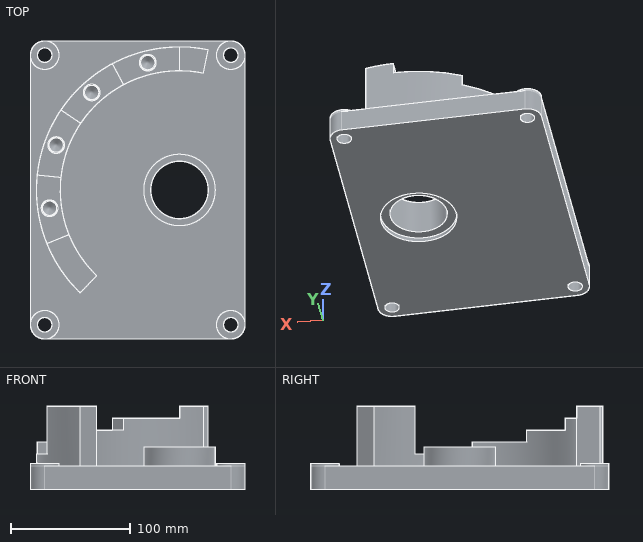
import cadquery as cq
import math

plate_width = 180
plate_length = 250
plate_height = 20
corner_radius = 12.0

pad_rise = 2.0
screw_hole_diameter = 12.0

pivot_x = 35
collar_diameter = 60
collar_rise = 16.0
bore_diameter = 48.0
counterbore_diameter = 64.0
counterbore_depth = 4.0

wall_inner_radius = 100
wall_outer_radius = 120
step_count = 4
step_angle = 28
step_rise = 10
first_step_angle = 90
upper_stop_angle = 11.5
lower_stop_angle = 24
stop_height = plate_height + (step_count + 1) * step_rise

detent_diameter = 12.0
detent_chamfer = 1.0
detent_depth = 10
drill_point_angle = 118
detent_radius = (wall_inner_radius + wall_outer_radius) / 2


def polar(radius, angle):
    """Point at the given radius and angle about the pivot."""
    turn = math.radians(angle)
    return (pivot_x + radius * math.cos(turn), radius * math.sin(turn))


def wall_sector(start, sweep, bottom):
    """Ring sector from the given height up to the top of the stops."""
    end = start + sweep
    middle = start + sweep / 2
    return (
        cq.Workplane("XY", origin=(0, 0, bottom))
        .moveTo(*polar(wall_outer_radius, start))
        .threePointArc(polar(wall_outer_radius, middle), polar(wall_outer_radius, end))
        .lineTo(*polar(wall_inner_radius, end))
        .threePointArc(polar(wall_inner_radius, middle), polar(wall_inner_radius, start))
        .close()
        .extrude(stop_height - bottom)
    )


def drilled_hole(angle, top):
    """Chamfered blind hole with a conical drill point, opening at the given height."""
    radius = detent_diameter / 2
    point_depth = radius / math.tan(math.radians(drill_point_angle / 2))
    x, y = polar(detent_radius, angle)
    profile = [
        (0, 0),
        (radius + detent_chamfer, 0),
        (radius, -detent_chamfer),
        (radius, -detent_depth),
        (0, -detent_depth - point_depth),
    ]
    return cq.Workplane("XZ", origin=(x, y, top)).polyline(profile).close().revolve(360, (0, 0), (0, 1))


plate = (
    cq.Workplane("XY")
    .rect(plate_width, plate_length)
    .extrude(plate_height)
    .edges("|Z")
    .fillet(corner_radius)
)
screw_spacing_x = plate_width - 2 * corner_radius
screw_spacing_y = plate_length - 2 * corner_radius
pads = (
    cq.Workplane("XY")
    .rect(screw_spacing_x, screw_spacing_y, forConstruction=True)
    .vertices()
    .circle(corner_radius)
    .extrude(plate_height + pad_rise)
)
collar = (
    cq.Workplane("XY")
    .center(pivot_x, 0)
    .circle(collar_diameter / 2)
    .extrude(plate_height + collar_rise)
)
result = plate.union(pads).union(collar)

wall_start = first_step_angle - upper_stop_angle
wall_sweep = upper_stop_angle + step_count * step_angle + lower_stop_angle
result = result.union(wall_sector(wall_start, wall_sweep, plate_height))

for step in range(step_count):
    start = first_step_angle + step * step_angle
    top = stop_height - (step + 1) * step_rise
    result = result.cut(wall_sector(start, step_angle, top))
    result = result.cut(drilled_hole(start + step_angle / 2, top))

screw_holes = (
    cq.Workplane("XY")
    .rect(screw_spacing_x, screw_spacing_y, forConstruction=True)
    .vertices()
    .circle(screw_hole_diameter / 2)
    .extrude(stop_height)
)
bore = cq.Workplane("XY").center(pivot_x, 0).circle(bore_diameter / 2).extrude(stop_height)
counterbore = (
    cq.Workplane("XY")
    .center(pivot_x, 0)
    .circle(counterbore_diameter / 2)
    .extrude(counterbore_depth)
)
result = result.cut(screw_holes).cut(bore).cut(counterbore)